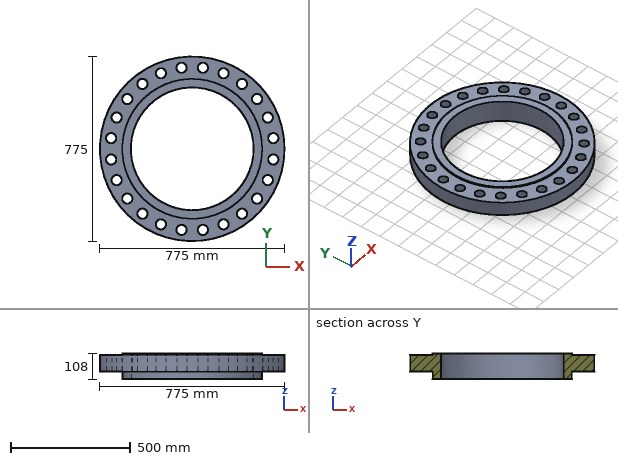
import cadquery as cq

flange_diameter = 775.0
hub_diameter = 586.5
raised_face_diameter = 586.5
bore_diameter = 514.0

total_height = 108.0
hub_height = 32.0
raised_face_height = 6.0
flange_thickness = total_height - hub_height - raised_face_height

bolt_count = 24
bolt_circle_diameter = 685.5
bolt_hole_diameter = 42.0
bolt_pitch_angle = 360 / bolt_count


def stepped_body():
    """Stack the hub, the flange and the raised face from the bottom up."""
    return (
        cq.Workplane("XY")
        .circle(hub_diameter / 2)
        .extrude(hub_height)
        .faces(">Z")
        .workplane()
        .circle(flange_diameter / 2)
        .extrude(flange_thickness)
        .faces(">Z")
        .workplane()
        .circle(raised_face_diameter / 2)
        .extrude(raised_face_height)
    )


def bore():
    """Central through bore."""
    return cq.Workplane("XY").circle(bore_diameter / 2).extrude(total_height)


def bolt_holes():
    """Through holes on the bolt circle, straddling the X and Y axes."""
    return (
        cq.Workplane("XY")
        .polarArray(bolt_circle_diameter / 2, bolt_pitch_angle / 2, 360, bolt_count)
        .circle(bolt_hole_diameter / 2)
        .extrude(total_height)
    )


result = stepped_body().cut(bore()).cut(bolt_holes())